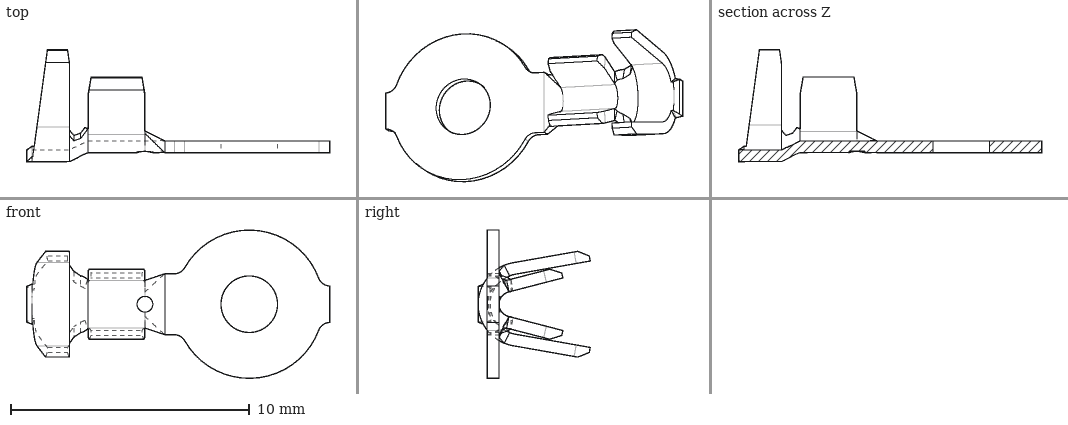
import cadquery as cq
import math

thickness = 0.5

eyelet_radius = 3.11
stud_hole_radius = 1.18
neck_half_width = 1.28
neck_start_x = -3.54
neck_fillet = 0.5
end_tab_x = 3.38
end_tab_half_width = 0.77
end_tab_fillet = 0.5

wire_start_x = -6.75
wire_end_x = -4.37
wire_radius = 1.025
wire_base_y = 0.0
wire_top_y = 3.18
wire_leg_angle = 14.5
wire_corner_width = 0.12
wire_corner_length = 0.72

insulation_start_x = -9.1
insulation_tip_x = -8.46
insulation_end_x = -7.525
insulation_radius = 1.77
insulation_base_y = -0.38
insulation_top_y = 4.32
insulation_leg_angle = 10
insulation_corner_width = 0.085
insulation_corner_length = 0.6

tip_bevel_length = 0.45
tip_bevel_depth = 0.28

neck_section_angle = 78
barrel_section_angle = 88
saddle_angle = 63
saddle_y = 0.8
saddle_half_width = 0.8
saddle_flat_start_x = -7.35
saddle_flat_end_x = -7.07
saddle_rise = 0.3

rear_tab_x = -9.33
rear_tab_half_width = 0.75
rear_tab_section_angle = 28.5
rear_tab_overlap = 0.25

dimple_radius = 0.33
dimple_depth = 0.06


def yz_workplane(x):
    """Workplane at x whose local axes are the part's Y and Z."""
    return cq.Workplane(cq.Plane(origin=(x, 0, 0), xDir=(0, 1, 0), normal=(1, 0, 0)))


def mirrored(point):
    return (point[0], -point[1])


def with_mirror_image(body):
    """The body together with its mirror image on the other side of Z = 0."""
    return body.union(body.mirror("XY"))


def barrel_legs(start_x, end_x, base_y, radius, leg_angle, top_y):
    """U-shaped barrel: a round bottom with two straight legs, bevelled outside at the tips."""
    angle = math.radians(leg_angle)
    center_y = base_y + radius
    inner_radius = radius - thickness
    leg_length = (top_y - center_y + inner_radius * math.sin(angle)) / math.cos(angle)

    def leg_point(distance, depth):
        """Point on the +Z leg, by distance from the round bottom and depth below the outer face."""
        offset = radius - depth
        y = center_y - offset * math.sin(angle) + distance * math.cos(angle)
        z = offset * math.cos(angle) + distance * math.sin(angle)
        return (y, z)

    outer_tangent = leg_point(0, 0)
    inner_tangent = leg_point(0, thickness)
    bevel_start = leg_point(leg_length - tip_bevel_length, 0)
    bevel_end = leg_point(leg_length, tip_bevel_depth)
    inner_tip = leg_point(leg_length, thickness)

    return (
        yz_workplane(start_x)
        .moveTo(*mirrored(bevel_start))
        .lineTo(*mirrored(outer_tangent))
        .threePointArc((base_y, 0), outer_tangent)
        .lineTo(*bevel_start)
        .lineTo(*bevel_end)
        .lineTo(*inner_tip)
        .lineTo(*inner_tangent)
        .threePointArc((base_y + thickness, 0), mirrored(inner_tangent))
        .lineTo(*mirrored(inner_tip))
        .lineTo(*mirrored(bevel_end))
        .close()
        .extrude(end_x - start_x)
    )


def corner_cuts(edge_x, inward, base_y, radius, leg_angle, top_y, width, length):
    """Wedges that slant one side edge of both legs near the tips; inward is the X sense of the slant."""
    angle = math.radians(leg_angle)
    center_y = base_y + radius
    tip_z = (radius - thickness) / math.cos(angle) + (top_y - center_y) * math.tan(angle)
    leg_plane = cq.Plane(
        origin=(edge_x, top_y, tip_z),
        xDir=(1, 0, 0),
        normal=(0, -math.sin(angle), math.cos(angle)),
    )
    wedge = (
        cq.Workplane(leg_plane)
        .polyline([(0, 0), (inward * width, 0), (0, -length)])
        .close()
        .extrude(2 * thickness, both=True)
    )
    return with_mirror_image(wedge)


def insulation_barrel():
    form = (insulation_base_y, insulation_radius, insulation_leg_angle, insulation_top_y)
    lean = (
        cq.Workplane("XY")
        .polyline([
            (insulation_start_x, insulation_base_y),
            (insulation_tip_x, insulation_top_y),
            (insulation_start_x, insulation_top_y),
        ])
        .close()
        .extrude(2 * insulation_radius, both=True)
    )
    front_corners = corner_cuts(
        insulation_end_x, -1, *form, insulation_corner_width, insulation_corner_length
    )
    barrel = barrel_legs(insulation_start_x, insulation_end_x, *form)
    return barrel.cut(lean).cut(front_corners)


def wire_barrel():
    form = (wire_base_y, wire_radius, wire_leg_angle, wire_top_y)
    barrel = barrel_legs(wire_start_x, wire_end_x, *form)
    for edge_x, inward in ((wire_start_x, 1), (wire_end_x, -1)):
        barrel = barrel.cut(
            corner_cuts(edge_x, inward, *form, wire_corner_width, wire_corner_length)
        )
    return barrel


def curved_section(x, base_y, radius, half_angle):
    """Ring sector centred on the bottom of a barrel."""
    angle = math.radians(half_angle)
    center_y = base_y + radius
    inner_radius = radius - thickness
    outer_end = (center_y - radius * math.cos(angle), radius * math.sin(angle))
    inner_end = (center_y - inner_radius * math.cos(angle), inner_radius * math.sin(angle))
    return (
        yz_workplane(x)
        .moveTo(*mirrored(outer_end))
        .threePointArc((base_y, 0), outer_end)
        .lineTo(*inner_end)
        .threePointArc((base_y + thickness, 0), mirrored(inner_end))
        .close()
    )


def flat_section(x, base_y, half_width):
    return (
        yz_workplane(x)
        .moveTo(base_y, -half_width)
        .lineTo(base_y, half_width)
        .lineTo(base_y + thickness, half_width)
        .lineTo(base_y + thickness, -half_width)
        .close()
    )


def ruled_loft(first, second):
    return cq.Workplane(cq.Solid.makeLoft([first.val(), second.val()], True))


def saddle_cut():
    """Scoops that lower the upper edges of the channel between the barrels."""
    angle = math.radians(saddle_angle)
    edge_plane = cq.Plane(
        origin=(0, saddle_y, saddle_half_width),
        xDir=(1, 0, 0),
        normal=(0, -math.cos(angle), math.sin(angle)),
    )
    scoop_height = wire_radius
    scoop = (
        cq.Workplane(edge_plane)
        .moveTo(insulation_end_x, scoop_height)
        .lineTo(insulation_end_x, saddle_rise)
        .lineTo(saddle_flat_start_x, 0)
        .lineTo(saddle_flat_end_x, 0)
        .lineTo(wire_start_x, saddle_rise)
        .lineTo(wire_start_x, scoop_height)
        .close()
        .extrude(2 * thickness, both=True)
    )
    return with_mirror_image(scoop)


def barrel_transition():
    """Tapered channel between the two barrels."""
    taper = ruled_loft(
        curved_section(insulation_end_x, insulation_base_y, insulation_radius, barrel_section_angle),
        curved_section(wire_start_x, wire_base_y, wire_radius, barrel_section_angle),
    )
    return taper.cut(saddle_cut())


def neck_transition():
    """Round bottom of the wire barrel flattening out into the neck of the eyelet."""
    return ruled_loft(
        curved_section(wire_end_x, wire_base_y, wire_radius, neck_section_angle),
        flat_section(neck_start_x, wire_base_y, neck_half_width),
    )


def rear_tab():
    form = (insulation_base_y, insulation_radius, rear_tab_section_angle)
    root = curved_section(insulation_start_x, *form)
    tab = ruled_loft(flat_section(rear_tab_x, insulation_base_y, rear_tab_half_width), root)
    return tab.union(root.extrude(rear_tab_overlap))


def fillet_contacts(half_width, radius):
    """Fillet between the eyelet rim and a straight side: X on the side, then X and Z on the rim."""
    center_z = half_width + radius
    reach = eyelet_radius + radius
    center_x = math.sqrt(reach ** 2 - center_z ** 2)
    rim_share = eyelet_radius / reach
    return center_x, center_x * rim_share, center_z * rim_share


def eyelet():
    """Flat ring with the neck on its -X side and a short tab on its +X side."""
    neck_x, neck_rim_x, neck_rim_z = fillet_contacts(neck_half_width, neck_fillet)
    tab_x, tab_rim_x, tab_rim_z = fillet_contacts(end_tab_half_width, end_tab_fillet)
    blank = (
        cq.Workplane("XZ")
        .moveTo(neck_start_x, neck_half_width)
        .lineTo(-neck_x, neck_half_width)
        .radiusArc((-neck_rim_x, neck_rim_z), -neck_fillet)
        .threePointArc((0, eyelet_radius), (tab_rim_x, tab_rim_z))
        .radiusArc((tab_x, end_tab_half_width), -end_tab_fillet)
        .lineTo(end_tab_x, end_tab_half_width)
        .lineTo(end_tab_x, -end_tab_half_width)
        .lineTo(tab_x, -end_tab_half_width)
        .radiusArc((tab_rim_x, -tab_rim_z), -end_tab_fillet)
        .threePointArc((0, -eyelet_radius), (-neck_rim_x, -neck_rim_z))
        .radiusArc((-neck_x, -neck_half_width), -neck_fillet)
        .lineTo(neck_start_x, -neck_half_width)
        .close()
        .extrude(-thickness)
    )
    stud_hole = cq.Workplane("XZ").circle(stud_hole_radius).extrude(-thickness)
    return blank.cut(stud_hole)


def dimple():
    return cq.Workplane("XZ").center(wire_end_x, 0).circle(dimple_radius).extrude(-dimple_depth)


result = (
    eyelet()
    .union(neck_transition())
    .union(wire_barrel())
    .union(barrel_transition())
    .union(insulation_barrel())
    .union(rear_tab())
    .cut(dimple())
)